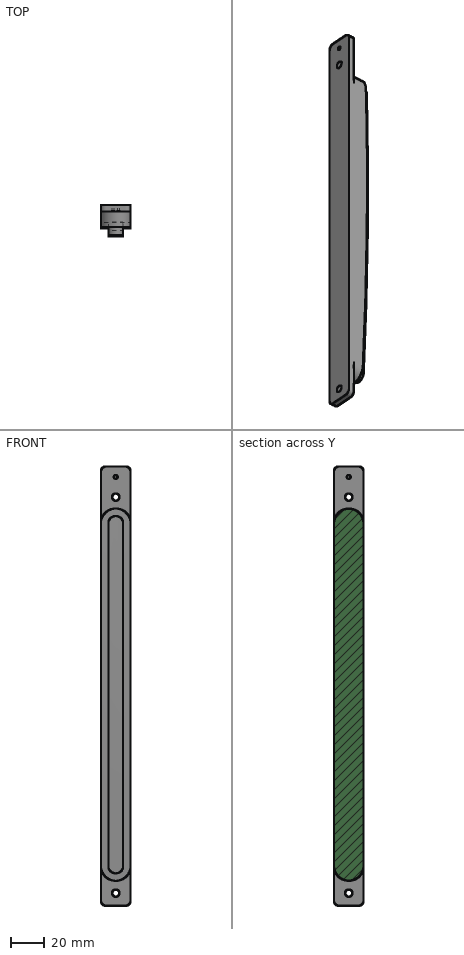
import cadquery as cq
import math

PLATE_WIDTH = 18.0
PLATE_LENGTH = 264.0
PLATE_THICKNESS = 4.0
CORNER_RADIUS = 3.2

SCREW_DIAMETER = 4.2
PIN_DIAMETER = 2.0
BOTTOM_SCREW_Z = 7.7
TOP_SCREW_Z = PLATE_LENGTH - 18.5
PIN_Z = PLATE_LENGTH - 6.3

BODY_BOTTOM_Z = 15.0
BODY_TOP_Z = PLATE_LENGTH - 25.3
RIB_WIDTH = 9.0
RIB_INSET = (PLATE_WIDTH - RIB_WIDTH) / 2

TOTAL_DEPTH = 19.0
RIB_HEIGHT = 4.8
CROWN_Z = 161.0
BODY_BOW_RADIUS = 2772.0
RIB_BOW_RADIUS = BODY_BOW_RADIUS + RIB_HEIGHT


def upright_slot(width, bottom, top, depth):
    """Round-ended upright bar running from Y = 0 toward -Y."""
    return (
        cq.Workplane("XZ")
        .center(0, (bottom + top) / 2)
        .slot2D(top - bottom, width, 90)
        .extrude(depth)
    )


def bowed_envelope(crown_depth, bow_radius):
    """Full-width, full-length block whose front is an arc in the YZ plane."""

    def front_y(z):
        drop = bow_radius - math.sqrt(bow_radius**2 - (z - CROWN_Z) ** 2)
        return drop - crown_depth

    return (
        cq.Workplane("YZ")
        .lineTo(front_y(0), 0)
        .threePointArc((-crown_depth, CROWN_Z), (front_y(PLATE_LENGTH), PLATE_LENGTH))
        .lineTo(0, PLATE_LENGTH)
        .close()
        .extrude(PLATE_WIDTH / 2, both=True)
    )


def bowed_bar(width, bottom, top, crown_depth, bow_radius):
    bar = upright_slot(width, bottom, top, crown_depth)
    return bar.intersect(bowed_envelope(crown_depth, bow_radius))


def through_hole(diameter, z):
    return cq.Workplane("XZ").center(0, z).circle(diameter / 2).extrude(PLATE_THICKNESS)


plate = (
    cq.Workplane("XZ")
    .center(0, PLATE_LENGTH / 2)
    .rect(PLATE_WIDTH, PLATE_LENGTH)
    .extrude(PLATE_THICKNESS)
    .edges("|Y")
    .fillet(CORNER_RADIUS)
)
for hole_diameter, hole_z in (
    (SCREW_DIAMETER, BOTTOM_SCREW_Z),
    (SCREW_DIAMETER, TOP_SCREW_Z),
    (PIN_DIAMETER, PIN_Z),
):
    plate = plate.cut(through_hole(hole_diameter, hole_z))

body = bowed_bar(
    PLATE_WIDTH, BODY_BOTTOM_Z, BODY_TOP_Z, TOTAL_DEPTH - RIB_HEIGHT, BODY_BOW_RADIUS
)
rib = bowed_bar(
    RIB_WIDTH, BODY_BOTTOM_Z + RIB_INSET, BODY_TOP_Z - RIB_INSET, TOTAL_DEPTH, RIB_BOW_RADIUS
)

result = plate.union(body).union(rib)